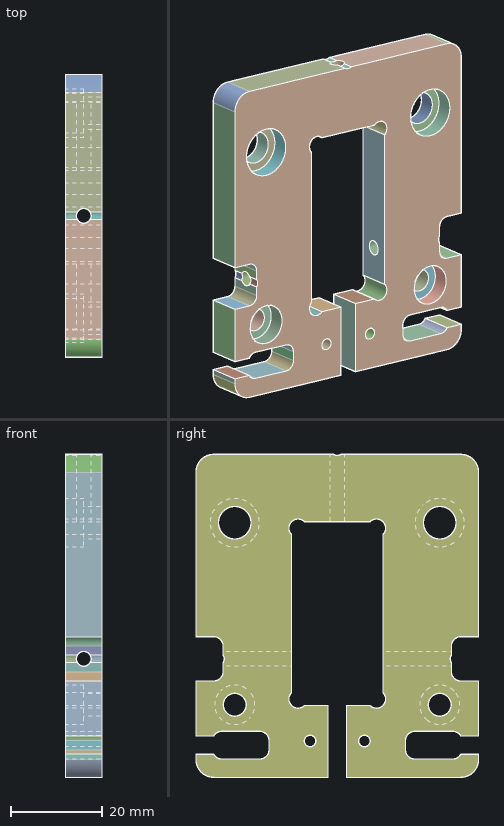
import cadquery as cq
import math

thickness = 8.0
width = 62.1
height = 71.0
corner_radius = 4.0
mill_radius = 2.0

hole_offset = 22.5
upper_hole_z = 55.95
lower_hole_z = 16.0
upper_hole_diameter = 7.1
upper_bore_diameter = 10.7
lower_hole_diameter = 5.0
lower_bore_diameter = 8.7
bore_depth = 4.0

window_width = 20.0
window_bottom = 15.8
window_top = 56.15
gap_width = 4.0

notch_depth = 5.95
notch_bottom = 21.2
notch_top = 30.9
notch_middle = (notch_bottom + notch_top) / 2

slot_z = 7.1
mouth_height = 4.0
pocket_height = 6.0
pocket_start = 3.7
pocket_end = 16.05

pin_hole_diameter = 2.5
pin_hole_offset = 5.95
pin_hole_z = 8.0

cross_hole_diameter = 3.2
groove_width = 1.7
groove_depth = 0.25
groove_radius = (groove_width**2 / 4 + groove_depth**2) / (2 * groove_depth)


def block(y_min, y_max, z_min, z_max):
    """Box through the full plate thickness, centred on X = 0."""
    size_y = y_max - y_min
    size_z = z_max - z_min
    box = cq.Workplane("XY").box(thickness, size_y, size_z)
    return box.translate((0, (y_min + y_max) / 2, (z_min + z_max) / 2))


def bore(y, z, diameter, depth=thickness):
    """Cylinder along X, sunk from the -X face."""
    plane = cq.Workplane("YZ", origin=(-thickness / 2, y, z))
    return plane.circle(diameter / 2).extrude(depth)


def make_window():
    half_width = window_width / 2
    window = block(-half_width, half_width, window_bottom, window_top)
    inset = mill_radius / math.sqrt(2)
    for y in (inset - half_width, half_width - inset):
        for z in (window_bottom + inset, window_top - inset):
            window = window.union(bore(y, z, 2 * mill_radius))
    gap = block(-gap_width / 2, gap_width / 2, 0, window_bottom + mill_radius)
    return window.union(gap)


def make_notch(side):
    edge = side * width / 2
    floor = edge - side * notch_depth
    notch = block(min(edge, floor), max(edge, floor), notch_bottom, notch_top)
    inner_edges = "|X and <Y" if side > 0 else "|X and >Y"
    notch = notch.edges(inner_edges).fillet(mill_radius)
    groove_y = floor + side * (groove_radius - groove_depth)
    return notch.union(bore(groove_y, notch_middle, 2 * groove_radius))


def make_slot(side):
    edge = side * width / 2
    start = edge - side * pocket_start
    end = edge - side * pocket_end
    pocket = block(
        min(start, end), max(start, end), slot_z - pocket_height / 2, slot_z + pocket_height / 2
    )
    pocket = pocket.edges("|X").fillet(mill_radius)
    middle = (start + end) / 2
    mouth = block(
        min(edge, middle), max(edge, middle), slot_z - mouth_height / 2, slot_z + mouth_height / 2
    )
    return pocket.union(mouth)


def make_holes(side):
    y = side * hole_offset
    holes = bore(y, upper_hole_z, upper_hole_diameter)
    holes = holes.union(bore(y, upper_hole_z, upper_bore_diameter, bore_depth))
    holes = holes.union(bore(y, lower_hole_z, lower_hole_diameter))
    holes = holes.union(bore(y, lower_hole_z, lower_bore_diameter, bore_depth))
    return holes.union(bore(side * pin_hole_offset, pin_hole_z, pin_hole_diameter))


def make_cross_holes():
    radius = cross_hole_diameter / 2
    across = cq.Workplane("XZ", origin=(0, width / 2, notch_middle)).circle(radius).extrude(width)
    down = cq.Workplane("XY", origin=(0, 0, height)).circle(radius).extrude(window_bottom - height)
    top_groove = bore(0, height + groove_radius - groove_depth, 2 * groove_radius)
    return across.union(down).union(top_groove)


plate = block(-width / 2, width / 2, 0, height).edges("|X").fillet(corner_radius)
plate = plate.cut(make_window())
for side in (-1, 1):
    plate = plate.cut(make_notch(side))
    plate = plate.cut(make_slot(side))
    plate = plate.cut(make_holes(side))
result = plate.cut(make_cross_holes())